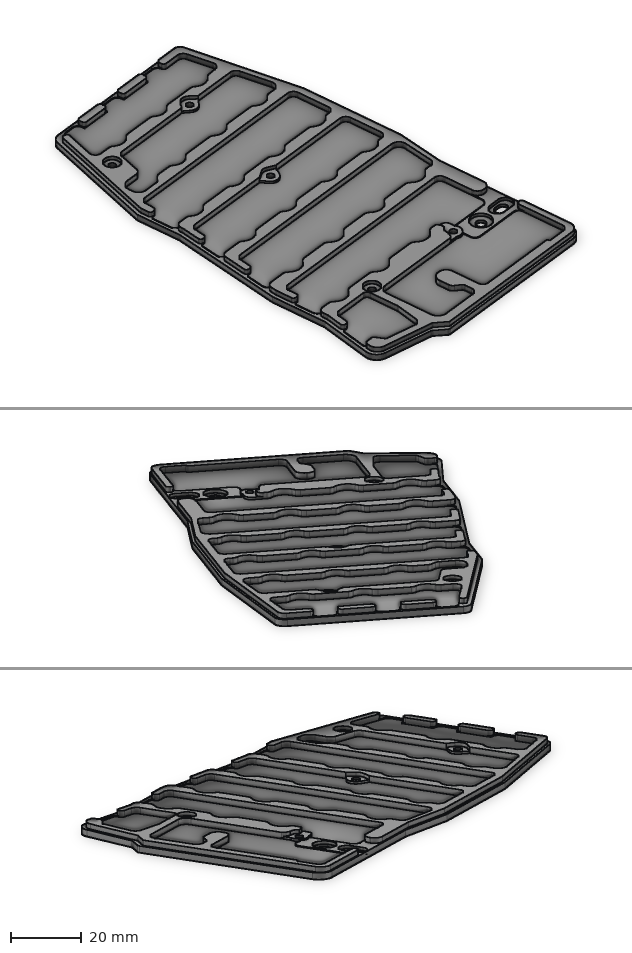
import cadquery as cq
import math

FLOOR_Z = 1.7
LEDGE_Z = 2.0
PAD_Z = 2.5
TOP_Z = 3.6
RECESS_Z = 1.0

LENGTH = 143.9
WIDTH = 85.9
SKEW = math.radians(12)
SKEW_SLOPE = math.tan(SKEW)
CORNER_R = 4.0
SOFT_R = 2.0
TIP_R = 1.0
MOUTH_R = 1.9
STRIP_END_R = 2.5
MOUTH_CLEARANCE = 4.3
LIP_WIDTH = 2.3

RIGHT_SHOULDER_Y = 82.7
LOWER_FLAT_Y = 10.4
LOWEST_FLAT_Y = 3.9
SKEW_CORNER = (136.1, CORNER_R * (1 - math.cos(SKEW) - math.sin(SKEW)))
SKEW_FLAT_X = SKEW_CORNER[0] - (LOWEST_FLAT_Y - SKEW_CORNER[1]) / SKEW_SLOPE
NOTCH_Y = 19.5
NOTCH_X = SKEW_CORNER[0] + (NOTCH_Y - SKEW_CORNER[1]) * SKEW_SLOPE
NOTCH_TOP_Y = 23.2

EDGE_INSET = 0.9
THIN_INSET = 0.5
MOUTH_INSET = 1.3
NOTCH_INSET = 1.5

PLATE = [
    (0, 23.6, 3.0, MOUTH_INSET),
    (41.2, LOWER_FLAT_Y, 0, MOUTH_INSET),
    (56.5, LOWER_FLAT_Y, 0, MOUTH_INSET),
    (95.4, LOWEST_FLAT_Y, 0, MOUTH_INSET),
    (SKEW_FLAT_X, LOWEST_FLAT_Y, 0, MOUTH_INSET),
    (*SKEW_CORNER, CORNER_R, 1.0),
    (NOTCH_X, NOTCH_Y, 1.2, NOTCH_INSET),
    (LENGTH, NOTCH_TOP_Y, 1.2, EDGE_INSET),
    (LENGTH, RIGHT_SHOULDER_Y, CORNER_R, THIN_INSET),
    (95.3, RIGHT_SHOULDER_Y, 0, EDGE_INSET),
    (76.3, WIDTH, 0, EDGE_INSET),
    (41.2, WIDTH, 0, EDGE_INSET),
    (0, 79.4, 3.0, EDGE_INSET),
]

SCALLOP_PITCH = 18.3
SCALLOP_R = 4.0
SCALLOP_ANGLE = math.radians(42)
SHALLOW = 1.7
DEEP = 2.3

SCREW_D = 2.3
SCREW_HEAD_D = 5.3
FLARE = 3.7
RIB_SCREWS = [(21.3, 23.7), (115.4, 23.7)]
SPINE_SCREWS = [(20.1, 59.9), (59.1, 47.9)]
END_SCREW = (115.8, 59.7)


def prism(corners, bottom, top):
    """Extrude a polygon of (x, y, corner radius) between two heights."""
    wire = None
    count = len(corners)
    for i, (x, y, radius) in enumerate(corners):
        before = cq.Vector(*corners[i - 1][:2])
        after = cq.Vector(*corners[(i + 1) % count][:2])
        here = cq.Vector(x, y)
        points = [here]
        if radius > 0:
            to_before = (before - here).normalized()
            to_after = (after - here).normalized()
            half_angle = to_before.getAngle(to_after) / 2
            bisector = (to_before + to_after).normalized()
            reach = radius / math.tan(half_angle)
            middle = here + bisector * (radius / math.sin(half_angle) - radius)
            points = [here + to_before * reach, middle, here + to_after * reach]
        if wire is None:
            wire = cq.Workplane("XY", origin=(0, 0, bottom)).moveTo(points[0].x, points[0].y)
        else:
            wire = wire.lineTo(points[0].x, points[0].y)
        if radius > 0:
            wire = wire.threePointArc((points[1].x, points[1].y), (points[2].x, points[2].y))
    return wire.close().extrude(top - bottom)


def cylinder(center, diameter, bottom, top):
    return cq.Workplane("XY", origin=(*center, bottom)).circle(diameter / 2).extrude(top - bottom)


def box(x_min, x_max, y_min, y_max, bottom, top):
    return prism([(x_min, y_min, 0), (x_max, y_min, 0), (x_max, y_max, 0), (x_min, y_max, 0)], bottom, top)


def round_corner(body, x, y, radius):
    """Round the upright edge of a body nearest to a plan position."""
    middle_z = body.val().Center().z
    nearest = cq.NearestToPointSelector((x, y, middle_z))
    return body.edges("|Z").edges(nearest).fillet(radius)


def inset_corners():
    """Rib outline: every plate side moved inwards by its own ledge width."""
    sides = []
    for i, (x, y, _, inset) in enumerate(PLATE):
        end_x, end_y = PLATE[(i + 1) % len(PLATE)][:2]
        length = math.hypot(end_x - x, end_y - y)
        normal = ((y - end_y) / length, (end_x - x) / length)
        sides.append((*normal, normal[0] * x + normal[1] * y + inset))
    corners = []
    for i, (a2, b2, c2) in enumerate(sides):
        a1, b1, c1 = sides[i - 1]
        det = a1 * b2 - a2 * b1
        radius = max(PLATE[i][2] - EDGE_INSET, 0)
        corners.append(((c1 * b2 - c2 * b1) / det, (a1 * c2 - a2 * c1) / det, radius))
    return corners


RIB_OUTLINE = inset_corners()
RIB_LEFT = EDGE_INSET


def mouth_y(x):
    """Lower side of the rib outline at a given x."""
    for (x1, y1, _), (x2, y2, _) in zip(RIB_OUTLINE, RIB_OUTLINE[1:6]):
        if x1 <= x <= x2:
            return y1 + (y2 - y1) * (x - x1) / (x2 - x1)


def lip_y(x):
    return mouth_y(x) + LIP_WIDTH


def scallops(wall_x, top_center, count, depth):
    """Corners of the scalloped wall, from top to bottom."""
    peak = depth + SCALLOP_R * (1 / math.cos(SCALLOP_ANGLE) - 1)
    half = peak / math.tan(SCALLOP_ANGLE)
    corners = []
    for i in range(count):
        center = top_center - i * SCALLOP_PITCH
        corners += [
            (wall_x, center + half, SOFT_R),
            (wall_x + peak, center, SCALLOP_R),
            (wall_x, center - half, SOFT_R),
        ]
    return corners


def mouth(left, tip_x, wall_x):
    """Corners of an open pocket end: out along the wall, back in past the lip tip."""
    outside = mouth_y(wall_x) - MOUTH_CLEARANCE
    return [
        (wall_x, outside, 0),
        (tip_x, outside, 0),
        (tip_x, lip_y(tip_x), TIP_R),
        (left, lip_y(left), SOFT_R),
    ]


TAB_RIGHT = 3.6
TABS = [(50.8, 61.6), (33.2, 43.3)]
CORNER_TAB_Y = 68.9
STRIP_TIP_X = 2.7
OPEN_X = -2.9
SIDE_WALL_X = 16.3
LEFT_SIDE_SLOPE = (LOWER_FLAT_Y - PLATE[0][1]) / PLATE[1][0]
STRIP_Y = 27.3


def strip_y(x):
    """Upper side of the rib strip along the lower left side."""
    return STRIP_Y + LEFT_SIDE_SLOPE * x


side_pocket = [
    (TAB_RIGHT, 76.7, SOFT_R),
    (15.8, 78.7, SOFT_R),
    *scallops(SIDE_WALL_X, 69.2, 3, SHALLOW),
    (SIDE_WALL_X, strip_y(SIDE_WALL_X), SOFT_R),
    (OPEN_X, strip_y(OPEN_X), 0),
    (OPEN_X, CORNER_TAB_Y, 0),
    (TAB_RIGHT, CORNER_TAB_Y, TIP_R),
]

SPINE_X = 20.3
CLOSED_WALL_X = 35.1
LEG_LEFT = 30.2
LEG_RIGHT = 37.1
LEG_Y = 16.5
closed_pocket = [
    (SPINE_X, 79.7, SOFT_R),
    (CLOSED_WALL_X, 82.2, 2.6),
    *scallops(CLOSED_WALL_X, 72.7, 3, SHALLOW),
    (CLOSED_WALL_X, 26.9, SOFT_R),
    (LEG_RIGHT, 24.5, SOFT_R),
    (LEG_RIGHT, LEG_Y, 2.6),
    (LEG_LEFT, LEG_Y, 3.0),
    (LEG_LEFT, 24.9, SOFT_R),
    (SPINE_X, 28.0, SOFT_R),
]

LONG_MOUTHS = [(39.1, 45.0, 54.1), (58.1, 64.2, 73.1), (77.1, 83.3, 92.1), (96.5, 102.2, 111.0)]
LONG_TOP_Y = 82.5
long_pockets = []
for left, tip_x, wall_x in LONG_MOUTHS[:2]:
    long_pockets.append([
        (left, LONG_TOP_Y, SOFT_R),
        (wall_x, LONG_TOP_Y, SOFT_R),
        *scallops(wall_x, 75.3, 4, SHALLOW),
        *mouth(left, tip_x, wall_x),
    ])

left, tip_x, wall_x = LONG_MOUTHS[2]
long_pockets.append([
    (left, 83.0, 2.6),
    (wall_x, 80.7, SOFT_R),
    *scallops(wall_x, 72.2, 4, DEEP),
    *mouth(left, tip_x, wall_x),
])

left, tip_x, wall_x = LONG_MOUTHS[3]
END_WALL_X = wall_x
STRIP_UNDER_Y = 77.1
END_POCKET_RIGHT = 114.1
PAD_TOP_Y = 62.0
long_pockets.append([
    (left, STRIP_UNDER_Y, SOFT_R),
    (END_POCKET_RIGHT, STRIP_UNDER_Y, SOFT_R),
    (END_POCKET_RIGHT, PAD_TOP_Y, 0),
    (END_WALL_X, PAD_TOP_Y, SOFT_R),
    *scallops(END_WALL_X, 51.1, 3, DEEP),
    *mouth(left, tip_x, END_WALL_X),
])

BIG_LEFT = 118.1
BIG_TOP_LEFT = 122.7
BIG_BOTTOM_Y = 23.7
BIG_SHOULDER_Y = 61.3
BIG_TOP_Y = 80.1
BIG_RIGHT = 139.9
BIG_UPPER_RIGHT = 140.7
BIG_STEP_Y = 72.1
STEP_R = 0.3
PENINSULA_TOP = 43.6
PENINSULA_BOTTOM = 37.8
PENINSULA_R = 0.95 * (PENINSULA_TOP - PENINSULA_BOTTOM) / 2
PENINSULA_TIP = 125.8
COVE_Y = 40.6
big_pocket = [
    (BIG_TOP_LEFT, BIG_TOP_Y, SOFT_R),
    (BIG_UPPER_RIGHT, BIG_TOP_Y, SOFT_R),
    (BIG_UPPER_RIGHT, BIG_STEP_Y, STEP_R),
    (BIG_RIGHT, BIG_STEP_Y, STEP_R),
    (BIG_RIGHT, PENINSULA_TOP, SOFT_R),
    (PENINSULA_TIP, PENINSULA_TOP, PENINSULA_R),
    (PENINSULA_TIP, PENINSULA_BOTTOM, PENINSULA_R),
    (132.7, PENINSULA_BOTTOM, SOFT_R),
    (135.0, COVE_Y, 1.2),
    (BIG_RIGHT, COVE_Y, SOFT_R),
    (BIG_RIGHT, BIG_BOTTOM_Y, 3.0),
    (BIG_LEFT, BIG_BOTTOM_Y, 2.6),
    (BIG_LEFT, BIG_SHOULDER_Y, 0),
    (BIG_TOP_LEFT, BIG_SHOULDER_Y, SOFT_R),
]

SMALL_LEFT = 115.5
SMALL_TOP_Y = 21.0
SMALL_BEND_X = 127.0
SMALL_RIGHT = 136.8
SMALL_LIP_TIP = 121.0
SMALL_WALL_TIP = 130.8
small_pocket = [
    (SMALL_LEFT, SMALL_TOP_Y, 1.5),
    (SMALL_BEND_X, SMALL_TOP_Y, SOFT_R),
    (SMALL_RIGHT, SMALL_TOP_Y - (SMALL_RIGHT - SMALL_BEND_X) * SKEW_SLOPE, SOFT_R),
    (134.2, 6.8, TIP_R),
    (SMALL_WALL_TIP, 5.0, TIP_R),
    *mouth(SMALL_LEFT, SMALL_LIP_TIP, SMALL_WALL_TIP),
]

POCKETS = [side_pocket, closed_pocket, big_pocket, *long_pockets, small_pocket]
MOUTHS = [(tip_x, wall_x, MOUTH_R) for _, tip_x, wall_x in LONG_MOUTHS]
MOUTHS.append((SMALL_LIP_TIP, SMALL_WALL_TIP, TIP_R))

UPPER_STRIP_TIP = 111.0
RIGHT_STRIP_TIP = 122.2
RIB_END_LEFT_Y = 58.5
RIB_END_RIGHT_Y = 56.0
bare_area = [
    (UPPER_STRIP_TIP, WIDTH, 0),
    (UPPER_STRIP_TIP, RIB_END_LEFT_Y, 0),
    (113.4, RIB_END_LEFT_Y, SOFT_R),
    (BIG_LEFT, RIB_END_RIGHT_Y, 0),
    (BIG_TOP_LEFT + SOFT_R, RIB_END_RIGHT_Y, 0),
    (BIG_TOP_LEFT + SOFT_R, BIG_TOP_Y, 0),
    (RIGHT_STRIP_TIP, BIG_TOP_Y, TIP_R),
    (RIGHT_STRIP_TIP, WIDTH, 0),
]


def round_mouth(body, tip_x, wall_x, wall_radius):
    """Round both corners where one pocket mouth opens to the ledge."""
    body = round_corner(body, tip_x, mouth_y(tip_x), TIP_R)
    return round_corner(body, wall_x, mouth_y(wall_x), wall_radius)


def pocket_floors():
    """Everything the pockets remove from the base plate."""
    outline = prism(RIB_OUTLINE, FLOOR_Z, LEDGE_Z)
    floors = [prism(pocket, FLOOR_Z, LEDGE_Z).intersect(outline) for pocket in POCKETS]
    side, closed, big = floors[:3]

    side_corners = [CORNER_TAB_Y, strip_y(RIB_LEFT)]
    for low, high in TABS:
        side = side.cut(box(OPEN_X, TAB_RIGHT, low, high, FLOOR_Z, LEDGE_Z))
        side_corners += [low, high]
    for y in side_corners:
        side = round_corner(side, RIB_LEFT, y, SOFT_R)

    mouth_floors = zip(floors[-len(MOUTHS):], MOUTHS)
    rounded_floors = [round_mouth(floor, *corners) for floor, corners in mouth_floors]
    return [side, closed, big, *rounded_floors]


def ribs():
    body = prism(RIB_OUTLINE, LEDGE_Z, TOP_Z)
    for pocket in [*POCKETS, bare_area]:
        body = body.cut(prism(pocket, LEDGE_Z, TOP_Z))
    body = body.cut(box(OPEN_X, STRIP_TIP_X, 0, strip_y(OPEN_X), LEDGE_Z, TOP_Z))

    body = round_corner(body, RIB_LEFT, CORNER_TAB_Y, TIP_R)
    for y in (strip_y(STRIP_TIP_X), mouth_y(STRIP_TIP_X)):
        body = round_corner(body, STRIP_TIP_X, y, TIP_R)
    for corners in MOUTHS:
        body = round_mouth(body, *corners)

    strip_top = RIGHT_SHOULDER_Y - THIN_INSET
    for y in (STRIP_UNDER_Y, strip_top):
        body = round_corner(body, UPPER_STRIP_TIP, y, STRIP_END_R)
    body = round_corner(body, RIGHT_STRIP_TIP, strip_top, TIP_R)
    body = round_corner(body, END_WALL_X, RIB_END_LEFT_Y, 1.5)
    body = round_corner(body, BIG_LEFT, RIB_END_RIGHT_Y, 1.2)

    for low, high in TABS:
        tab = box(RIB_LEFT, TAB_RIGHT, low, high, LEDGE_Z, TOP_Z)
        body = body.union(tab.edges("|Z").fillet(TIP_R))
    return body


def flared_seat(center, spine_x, bottom, top):
    """Round screw seat with tangent flares towards the rib wall above and below it."""
    radius = SCREW_HEAD_D / 2
    seat = cylinder(center, SCREW_HEAD_D, bottom, top)
    for side in (1, -1):
        tip = (spine_x, center[1] + side * FLARE)
        distance = math.dist(tip, center)
        aim = math.atan2(tip[1] - center[1], tip[0] - center[0])
        spread = math.acos(radius / distance)
        touch = [
            (center[0] + radius * math.cos(a), center[1] + radius * math.sin(a), 0)
            for a in (aim - spread, aim + spread)
        ]
        seat = seat.union(prism([(*tip, 0), touch[1], (*center, 0), touch[0]], bottom, top))
    return seat


result = prism([corner[:3] for corner in PLATE], 0, LEDGE_Z)
for floor in pocket_floors():
    result = result.cut(floor)
result = result.union(ribs())

for center in RIB_SCREWS:
    result = result.cut(cylinder(center, SCREW_HEAD_D, PAD_Z, TOP_Z))
for center, spine_x in zip(SPINE_SCREWS, (SPINE_X, LONG_MOUTHS[1][0])):
    result = result.cut(flared_seat(center, spine_x, PAD_Z, TOP_Z))
    result = result.union(flared_seat(center, spine_x, 0, PAD_Z))
end_pad = [
    (END_WALL_X, RIB_END_RIGHT_Y, 0),
    (BIG_LEFT, RIB_END_RIGHT_Y, 0),
    (BIG_LEFT, END_SCREW[1], 0),
    (END_SCREW[0], PAD_TOP_Y, 0),
    (END_WALL_X, PAD_TOP_Y, SOFT_R),
]
result = result.union(prism(end_pad, 0, PAD_Z))
result = result.union(cylinder(END_SCREW, SCREW_HEAD_D, 0, PAD_Z))
result = result.cut(cylinder(END_SCREW, SCREW_HEAD_D, PAD_Z, TOP_Z))

for center in [*RIB_SCREWS, *SPINE_SCREWS, END_SCREW]:
    result = result.cut(cylinder(center, SCREW_D, 0, TOP_Z))

MOUNT_X = 118.3
MOUNT_D = 3.2
ROUND_Y = 69.0
SLOT_Y = 78.1
ROUND_RECESS_D = 6.9
SLOT_LENGTH = 4.6
SLOT_RECESS_LENGTH = 8.6
SLOT_RECESS_WIDTH = 5.0
result = result.cut(cylinder((MOUNT_X, ROUND_Y), ROUND_RECESS_D, RECESS_Z, TOP_Z))
result = result.cut(cylinder((MOUNT_X, ROUND_Y), MOUNT_D, 0, TOP_Z))
SLOT_STEPS = [(SLOT_RECESS_LENGTH, SLOT_RECESS_WIDTH, RECESS_Z), (SLOT_LENGTH, MOUNT_D, 0)]
for length, width, bottom in SLOT_STEPS:
    slot = cq.Workplane("XY", origin=(MOUNT_X, SLOT_Y, bottom)).slot2D(length, width, 90)
    result = result.cut(slot.extrude(TOP_Z - bottom))